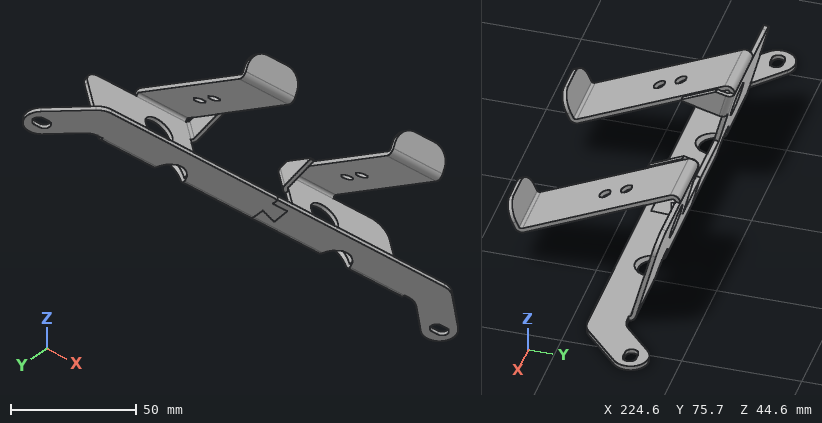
import cadquery as cq
import math

SHEET = 2.0
BEND_RADIUS = 1.0
OUTER_BEND_RADIUS = BEND_RADIUS + SHEET

WALL_LEAN = 15
ARM_SLOPE = 25
BASE_CORNER_Y = 17.0
WALL_RUN = 48.7
ARM_RUN = 75.2
HOOK_LENGTH = 11.5
HOOK_CORNER_RADIUS = 7.9

WALL_END = 79.5
ARM_INNER = 25.8
ARM_WIDTH = 26.0
ARM_CENTRE = ARM_INNER + ARM_WIDTH / 2

LOW_WALL_HEIGHT = 17.3
HIGH_WALL_HEIGHT = 42.7
WALL_CORNER_RADIUS = 8.0
WALL_HOLE_DIAMETER = 14.0
WALL_HOLE_HEIGHT = 26.7
BEND_HOLE_DIAMETER = 15.0
CABLE_HOLE_X = 43.5
BEND_HOLE_OFFSET = 0.7

ARM_HOLE_DIAMETER = 5.0
ARM_HOLE_RUN = 30.5
ARM_HOLE_PITCH = 9.9

FLANGE_FOOT = 31.9
FLANGE_REACH = 19.3

HALF_LENGTH = 112.3
EAR_DIAMETER = 15.0
EAR_RADIUS = EAR_DIAMETER / 2
EAR_X = HALF_LENGTH - EAR_RADIUS
EAR_Y = 23.0
EAR_ANGLE = 43
EAR_SLOT_WIDTH = 5.5
EAR_SLOT_LENGTH = 8.3
NECK_RADIUS = 9.0

TONGUE = [(0, 3.1), (7.6, 3.1), (8.3, 12.0), (0, 9.2)]


def heading(degrees):
    return (math.cos(math.radians(degrees)), math.sin(math.radians(degrees)))


def along(point, direction, distance):
    return (point[0] + direction[0] * distance, point[1] + direction[1] * distance)


WALL_ANGLE = 90 - WALL_LEAN
ARM_ANGLE = 180 + ARM_SLOPE
HOOK_ANGLE = ARM_ANGLE - 90

BASE_FRONT = (0, 0)
BASE_CORNER = (BASE_CORNER_Y, 0)
HIGH_WALL_TOP = along(BASE_CORNER, heading(WALL_ANGLE), HIGH_WALL_HEIGHT)
ARM_CORNER = along(BASE_CORNER, heading(WALL_ANGLE), WALL_RUN)
HOOK_CORNER = along(ARM_CORNER, heading(ARM_ANGLE), ARM_RUN)
HOOK_TIP = along(HOOK_CORNER, heading(HOOK_ANGLE), HOOK_LENGTH)

BEND_MITRE = math.tan(math.radians(WALL_ANGLE / 2))
BASE_REAR = BASE_CORNER_Y - OUTER_BEND_RADIUS * BEND_MITRE


def bent_strip(stations, x_start, x_end):
    """Bent strip between two X positions; the sheet lies left of the path of (Y, Z) stations."""
    angles = [
        math.degrees(math.atan2(end[1] - start[1], end[0] - start[0]))
        for start, end in zip(stations, stations[1:])
    ]
    other_face = [along(stations[0], heading(angles[0] + 90), SHEET)]
    turns = []
    for corner, before, after in zip(stations[1:], angles, angles[1:]):
        turn = (after - before + 180) % 360 - 180
        mitre = SHEET / math.cos(math.radians(turn / 2))
        other_face.append(along(corner, heading(before + turn / 2 + 90), mitre))
        turns.append(turn)
    other_face.append(along(stations[-1], heading(angles[-1] + 90), SHEET))

    outline = stations + other_face[::-1]
    strip = cq.Workplane("YZ", origin=(x_start, 0, 0)).polyline(outline).close().extrude(x_end - x_start)

    x_middle = (x_start + x_end) / 2
    for number, turn in enumerate(turns, start=1):
        outside, inside = stations[number], other_face[number]
        if turn < 0:
            outside, inside = inside, outside
        for corner, radius in ((outside, OUTER_BEND_RADIUS), (inside, BEND_RADIUS)):
            edge = cq.selectors.NearestToPointSelector((x_middle, *corner))
            strip = strip.edges(edge).fillet(radius)
    return strip


def sheet_plane(corner, angle):
    """Plane on the section's outer face: local x is +X, local z points into the sheet."""
    direction = heading(angle)
    return cq.Plane(
        origin=(0, *corner),
        xDir=(1, 0, 0),
        normal=(0, -direction[1], direction[0]),
    )


WALL_PLANE = sheet_plane(BASE_CORNER, WALL_ANGLE)
ARM_PLANE = sheet_plane(ARM_CORNER, ARM_ANGLE)


def base_plate():
    """Flat base with a slotted ear."""
    ear_side = heading(EAR_ANGLE)
    outward = (-ear_side[1], ear_side[0])
    ear_centre = (EAR_X, EAR_Y)
    rear_tangent = along(ear_centre, outward, EAR_RADIUS)
    front_tangent = along(ear_centre, outward, -EAR_RADIUS)
    slope = math.tan(math.radians(EAR_ANGLE))
    neck_rear = (rear_tangent[0] - (rear_tangent[1] - BASE_REAR) / slope, BASE_REAR)
    neck_front = (front_tangent[0] - front_tangent[1] / slope, 0)
    ear_tip = along(ear_centre, ear_side, EAR_RADIUS)

    plate = (
        cq.Workplane("XY")
        .lineTo(*neck_front)
        .lineTo(*front_tangent)
        .threePointArc(ear_tip, rear_tangent)
        .lineTo(*neck_rear)
        .lineTo(0, BASE_REAR)
        .close()
        .extrude(SHEET)
    )
    for corner in (neck_front, neck_rear):
        edge = cq.selectors.NearestToPointSelector((*corner, SHEET / 2))
        plate = plate.edges(edge).fillet(NECK_RADIUS)
    slot = cq.Workplane("XY").center(*ear_centre).slot2D(EAR_SLOT_LENGTH, EAR_SLOT_WIDTH).extrude(SHEET)
    return plate.cut(slot)


def wall():
    """Leaning wall with its bend; high at the outer end, low near the joint."""
    plate = bent_strip([BASE_FRONT, BASE_CORNER, HIGH_WALL_TOP], 0, WALL_END)
    step_height = HIGH_WALL_HEIGHT - LOW_WALL_HEIGHT
    notch = (
        cq.Workplane(WALL_PLANE)
        .rect(ARM_INNER, step_height, centered=False)
        .extrude(SHEET)
        .translate(WALL_PLANE.yDir * LOW_WALL_HEIGHT)
    )
    top_corner = WALL_PLANE.toWorldCoords((WALL_END, HIGH_WALL_HEIGHT, SHEET / 2))
    edge = cq.selectors.NearestToPointSelector(top_corner.toTuple())
    return plate.edges(edge).fillet(WALL_CORNER_RADIUS).cut(notch)


def arm():
    """Upper wall, sloping arm and hook in one strip."""
    wall_start = along(BASE_CORNER, heading(WALL_ANGLE), FLANGE_FOOT)
    strip = bent_strip(
        [wall_start, ARM_CORNER, HOOK_CORNER, HOOK_TIP],
        ARM_INNER,
        ARM_INNER + ARM_WIDTH,
    )
    tip_middle = along(HOOK_TIP, heading(HOOK_ANGLE + 90), SHEET / 2)
    for x in (ARM_INNER, ARM_INNER + ARM_WIDTH):
        edge = cq.selectors.NearestToPointSelector((x, *tip_middle))
        strip = strip.edges(edge).fillet(HOOK_CORNER_RADIUS)
    holes = (
        cq.Workplane(ARM_PLANE)
        .pushPoints([(ARM_CENTRE, ARM_HOLE_RUN + n * ARM_HOLE_PITCH) for n in range(2)])
        .circle(ARM_HOLE_DIAMETER / 2)
        .extrude(SHEET)
    )
    return strip.cut(holes)


def flange():
    """Triangular flange bent forward from the wall's inner edge, level with the top of the arm."""
    foot = WALL_PLANE.toWorldCoords((0, FLANGE_FOOT, 0))
    plane = cq.Plane(origin=foot, xDir=(-1, 0, 0), normal=WALL_PLANE.yDir)
    diagonal = math.sqrt(0.5)
    bend_centre = (-ARM_INNER, OUTER_BEND_RADIUS)
    bend_middle = (diagonal, -diagonal)
    outer_face = OUTER_BEND_RADIUS - ARM_INNER
    inner_face = BEND_RADIUS - ARM_INNER

    plate = (
        cq.Workplane(plane)
        .moveTo(-ARM_INNER, 0)
        .threePointArc(along(bend_centre, bend_middle, OUTER_BEND_RADIUS), (outer_face, OUTER_BEND_RADIUS))
        .lineTo(outer_face, FLANGE_REACH)
        .lineTo(inner_face, FLANGE_REACH)
        .lineTo(inner_face, OUTER_BEND_RADIUS)
        .threePointArc(along(bend_centre, bend_middle, BEND_RADIUS), (-ARM_INNER, SHEET))
        .close()
        .extrude(HIGH_WALL_HEIGHT - FLANGE_FOOT)
    )
    above_arm = cq.Workplane(ARM_PLANE).rect(2 * ARM_INNER, 2 * ARM_RUN).extrude(-WALL_RUN)
    return plate.cut(above_arm)


def cable_holes():
    """Hole drilled into the base bend, midway between base and wall, and a hole in the wall above it."""
    bend_hole = (
        cq.Workplane(sheet_plane(BASE_CORNER, WALL_ANGLE / 2))
        .center(CABLE_HOLE_X, BEND_HOLE_OFFSET)
        .circle(BEND_HOLE_DIAMETER / 2)
        .extrude(BEND_HOLE_DIAMETER, both=True)
    )
    wall_hole = (
        cq.Workplane(WALL_PLANE)
        .center(CABLE_HOLE_X, WALL_HOLE_HEIGHT)
        .circle(WALL_HOLE_DIAMETER / 2)
        .extrude(SHEET)
    )
    return bend_hole.union(wall_hole)


def bracket_half():
    half = base_plate().union(wall()).union(arm()).union(flange())
    return half.cut(cable_holes())


tongue = cq.Workplane("XY").polyline(TONGUE).close().extrude(SHEET)
right_half = bracket_half().cut(tongue)
left_half = bracket_half().mirror("YZ").union(tongue)

result = cq.Compound.makeCompound([left_half.val(), right_half.val()])